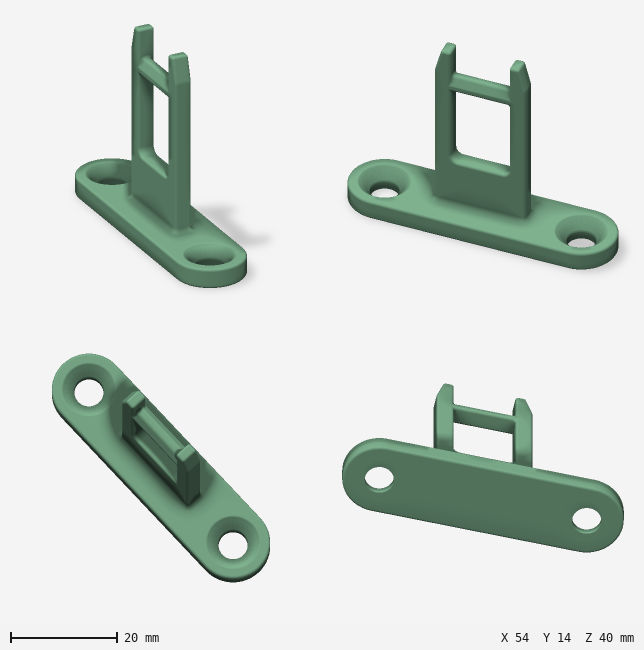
import cadquery as cq
import math

BASE_LENGTH = 54.0
BASE_WIDTH = 14.0
BASE_HEIGHT = 4.0
HOLE_DIAMETER = 5.5
SINK_DIAMETER = 10.0
SINK_ANGLE = 90.0

TOTAL_HEIGHT = 40.0
TONGUE_WIDTH = 18.45
TONGUE_THICKNESS = 3.4
TAPER_START = 35.1
TAPER_ANGLE = 15.0
TAPER_BLEND_RADIUS = 2.0

OPENING_WIDTH = 11.95
WINDOW_BOTTOM = 14.05
WINDOW_TOP = 31.0
WINDOW_CORNER_RADIUS = 1.5
BAR_TOP = 34.0
BAR_SHOULDER = 32.25
ROOF_ANGLE = 60.0

EDGE_RADIUS = 0.5
RIDGE_RADIUS = 0.75
ROOT_RADIUS = 0.95

TOL = 0.005


def box_between(low, high):
    """Selector for edges whose centre lies between two opposite corners."""
    return cq.selectors.BoxSelector(low, high)


def make_base():
    base = (
        cq.Workplane("XY")
        .slot2D(BASE_LENGTH, BASE_WIDTH)
        .extrude(BASE_HEIGHT)
        .faces("<Z or >Z")
        .edges()
        .fillet(EDGE_RADIUS)
    )
    hole_spacing = BASE_LENGTH - BASE_WIDTH
    holes = [(-hole_spacing / 2, 0), (hole_spacing / 2, 0)]
    base = (
        base.faces(">Z")
        .workplane(origin=(0, 0, BASE_HEIGHT))
        .pushPoints(holes)
        .cskHole(HOLE_DIAMETER, SINK_DIAMETER, SINK_ANGLE)
    )

    bore_top = BASE_HEIGHT - (SINK_DIAMETER - HOLE_DIAMETER) / 2 / math.tan(math.radians(SINK_ANGLE / 2))
    for x, y in holes:
        cone_ends = base.edges("%CIRCLE").edges(
            box_between(
                (x - TOL, y - TOL, bore_top - TOL),
                (x + TOL, y + TOL, BASE_HEIGHT + TOL),
            )
        )
        base = cone_ends.fillet(EDGE_RADIUS)
    return base


def make_blank():
    half_width = TONGUE_WIDTH / 2
    taper = (TOTAL_HEIGHT - TAPER_START) * math.tan(math.radians(TAPER_ANGLE))
    blank = (
        cq.Workplane("XZ")
        .moveTo(-half_width, 0)
        .lineTo(half_width, 0)
        .lineTo(half_width, TAPER_START)
        .lineTo(half_width - taper, TOTAL_HEIGHT)
        .lineTo(taper - half_width, TOTAL_HEIGHT)
        .lineTo(-half_width, TAPER_START)
        .close()
        .extrude(TONGUE_THICKNESS / 2, both=True)
    )
    taper_starts = blank.edges("|Y").edges(
        box_between(
            (-TONGUE_WIDTH, -TOL, TAPER_START - TOL),
            (TONGUE_WIDTH, TOL, TAPER_START + TOL),
        )
    )
    return taper_starts.fillet(TAPER_BLEND_RADIUS)


def make_window():
    height = WINDOW_TOP - WINDOW_BOTTOM
    return (
        cq.Workplane("XY")
        .box(OPENING_WIDTH, 2 * TONGUE_THICKNESS, height)
        .translate((0, 0, WINDOW_BOTTOM + height / 2))
        .edges("|Y and <Z")
        .fillet(WINDOW_CORNER_RADIUS)
    )


def make_notch():
    """Space between the prongs, open at the top, with the roof of the bar as its floor."""
    half_depth = TONGUE_THICKNESS / 2
    half_ridge = half_depth - (BAR_TOP - BAR_SHOULDER) / math.tan(math.radians(ROOF_ANGLE))
    return (
        cq.Workplane("YZ")
        .moveTo(-half_depth, BAR_SHOULDER)
        .lineTo(-half_ridge, BAR_TOP)
        .lineTo(half_ridge, BAR_TOP)
        .lineTo(half_depth, BAR_SHOULDER)
        .lineTo(half_depth, TOTAL_HEIGHT)
        .lineTo(-half_depth, TOTAL_HEIGHT)
        .close()
        .extrude(OPENING_WIDTH / 2, both=True)
    )


def make_tongue():
    tongue = make_blank().cut(make_window()).cut(make_notch())
    half_width = OPENING_WIDTH / 2
    inner_depth = TONGUE_THICKNESS / 2 - TOL

    ridges = tongue.edges("|X").edges(
        box_between((-TOL, -inner_depth, BAR_TOP - TOL), (TOL, inner_depth, BAR_TOP + TOL))
    )
    tongue = ridges.fillet(RIDGE_RADIUS)

    face_outlines = tongue.faces("<Y or >Y").edges("not <Z")
    tip_corners = tongue.faces(">Z").edges("|Y")
    tongue = face_outlines.add(tip_corners).fillet(EDGE_RADIUS)

    for side in (-half_width, half_width):
        corners = tongue.edges(
            box_between(
                (side - TOL, -inner_depth, WINDOW_TOP - TOL),
                (side + TOL, inner_depth, BAR_TOP + TOL),
            )
        )
        tongue = corners.fillet(EDGE_RADIUS)
    return tongue


def round_root(part):
    """Fillet the foot of the tongue where it stands on the base."""
    foot = part.edges(
        box_between(
            (-TONGUE_WIDTH / 2 - TOL, -TONGUE_THICKNESS / 2 - TOL, BASE_HEIGHT - TOL),
            (TONGUE_WIDTH / 2 + TOL, TONGUE_THICKNESS / 2 + TOL, BASE_HEIGHT + TOL),
        )
    )
    return foot.fillet(ROOT_RADIUS)


result = round_root(make_base().union(make_tongue()))